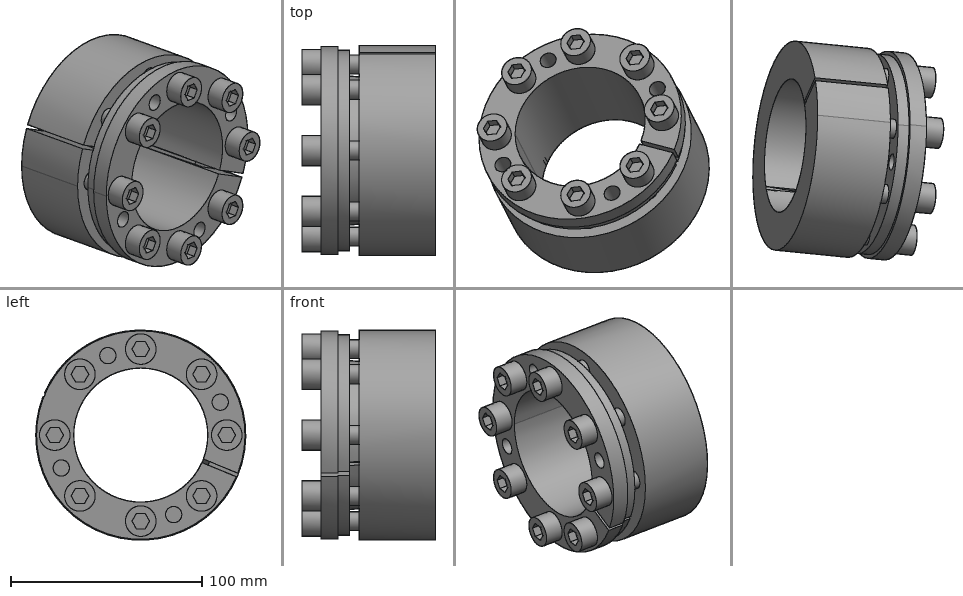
import cadquery as cq
import math


head_length = 10.0
flange_thickness = 9.0
step_thickness = 6.0
gap = 5.0
ring_length = 40.0
flange_face_x = head_length
step_face_x = flange_face_x + flange_thickness
cone_base_x = step_face_x + step_thickness
ring_face_x = cone_base_x + gap
end_x = ring_face_x + ring_length

bore_diameter = 70.0
flange_diameter = 109.0
step_diameter = 105.0
ring_diameter = 110.0

cone_half_angle = 5.0
tip_wall = 0.1
tip_radius = bore_diameter / 2 + tip_wall
cone_slope = math.tan(math.radians(cone_half_angle))
cone_base_radius = tip_radius + (end_x - cone_base_x) * cone_slope

slit_width = 2.0
ring_slit_angle = 22.5
sleeve_slit_angle = ring_slit_angle + 180.0

screw_count = 8
screw_diameter = 10.0
screw_length = 40.0
head_diameter = 16.0
socket_flats = 8.0
socket_depth = 5.0
screw_circle_radius = 45.0

jacking_count = 4
jacking_diameter = 8.5
jacking_start_angle = 67.5


def cylinder_x(diameter, start_x, length):
    """Cylinder on the shaft axis."""
    return cq.Workplane("YZ", origin=(start_x, 0, 0)).circle(diameter / 2).extrude(length)


def cylinders_on_circle(count, start_angle, diameter, start_x, length):
    """Cylinders parallel to the shaft axis, evenly spaced on the screw circle."""
    return (
        cq.Workplane("YZ", origin=(start_x, 0, 0))
        .polarArray(screw_circle_radius, start_angle, 360, count)
        .circle(diameter / 2)
        .extrude(length)
    )


def clamping_cone():
    """Solid cone shared by the sleeve and the bore of the outer ring."""
    return (
        cq.Workplane("XY")
        .moveTo(cone_base_x, 0)
        .lineTo(cone_base_x, cone_base_radius)
        .lineTo(end_x, tip_radius)
        .lineTo(end_x, 0)
        .close()
        .revolve(360, (0, 0, 0), (1, 0, 0))
    )


def slit_cutter(angle):
    """Full-length slab running outward from the axis, at an angle from +Y toward +Z."""
    return (
        cq.Workplane("YZ")
        .rect(ring_diameter, slit_width)
        .extrude(end_x)
        .translate((0, ring_diameter / 2, 0))
        .rotate((0, 0, 0), (1, 0, 0), angle)
    )


def screw_shanks():
    """Space taken by all the screw shanks."""
    return cylinders_on_circle(screw_count, 0, screw_diameter, head_length, screw_length)


def make_sleeve():
    """Slit conical sleeve with its stepped flange, screw holes and jacking holes."""
    flange = cylinder_x(flange_diameter, flange_face_x, flange_thickness)
    step = cylinder_x(step_diameter, step_face_x, step_thickness)
    bore = cylinder_x(bore_diameter, flange_face_x, end_x - flange_face_x)
    jacking_holes = cylinders_on_circle(
        jacking_count, jacking_start_angle, jacking_diameter, flange_face_x, cone_base_x - flange_face_x
    )
    body = flange.union(step).union(clamping_cone()).cut(bore)
    return body.cut(screw_shanks()).cut(jacking_holes).cut(slit_cutter(sleeve_slit_angle))


def make_outer_ring():
    """Slit ring with a conical bore and blind screw holes."""
    ring = cylinder_x(ring_diameter, ring_face_x, ring_length)
    return ring.cut(clamping_cone()).cut(screw_shanks()).cut(slit_cutter(ring_slit_angle))


def make_screw(angle):
    """Socket head screw at an angle from +Y toward +Z; the hexagon keeps two flats horizontal."""
    socket_corners = socket_flats / math.cos(math.pi / 6)
    head = cylinder_x(head_diameter, 0, head_length)
    shank = cylinder_x(screw_diameter, head_length, screw_length)
    socket = cq.Workplane("YZ").polygon(6, socket_corners).extrude(socket_depth)
    y = screw_circle_radius * math.cos(math.radians(angle))
    z = screw_circle_radius * math.sin(math.radians(angle))
    return head.union(shank).cut(socket).translate((0, y, z))


sleeve = make_sleeve()
outer_ring = make_outer_ring()
screws = [make_screw(index * 360 / screw_count) for index in range(screw_count)]

result = cq.Compound.makeCompound(
    [sleeve.val(), outer_ring.val(), *[screw.val() for screw in screws]]
)